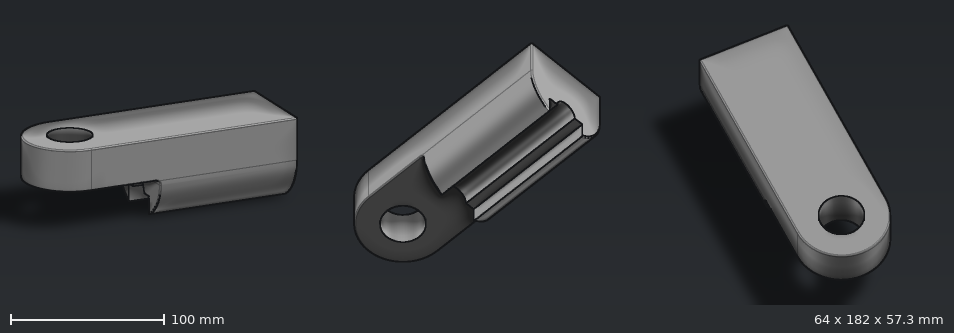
import cadquery as cq
import math

length = 182.0
width = 64.0
arm_thickness = 29.0
grip_length = 100.0
pivot_diameter = 30.0
slot_width = 30.0
slot_depth = 12.5
groove_radius = 8.0
inner_corner_radius = 3.5
edge_radius = 1.0

end_radius = width / 2
back_y = length - end_radius
grip_front_y = back_y - grip_length
grip_bottom_z = -math.sqrt(end_radius**2 - (slot_width / 2) ** 2)
slot_ceiling_z = grip_bottom_z + slot_depth


def make_plan():
    """Outline seen along Z: straight sides and a half-round pivot end."""
    return (
        cq.Workplane("XY", origin=(0, 0, -end_radius))
        .moveTo(-end_radius, back_y)
        .lineTo(-end_radius, 0)
        .threePointArc((0, -end_radius), (end_radius, 0))
        .lineTo(end_radius, back_y)
        .close()
        .extrude(end_radius + arm_thickness)
    )


def make_cross_section():
    """Outline seen along Y: straight sides above a half-round belly."""
    return (
        cq.Workplane("XZ", origin=(0, back_y, 0))
        .moveTo(-end_radius, arm_thickness)
        .lineTo(-end_radius, 0)
        .threePointArc((0, -end_radius), (end_radius, 0))
        .lineTo(end_radius, arm_thickness)
        .close()
        .extrude(length)
    )


def make_arm_clearance():
    """Space under the arm, with a round blend between its underside and the grip front."""
    clearance = cq.Workplane("XY").box(
        width, grip_front_y + end_radius, end_radius, centered=(True, False, False)
    )
    clearance = clearance.translate((0, -end_radius, -end_radius))
    return clearance.edges(">Y and >Z").fillet(inner_corner_radius)


def make_channel():
    """Square slot with a round groove in its ceiling, along the whole grip."""
    slot_bottom_z = -end_radius
    slot = cq.Workplane("XY").box(
        slot_width, grip_length, slot_ceiling_z - slot_bottom_z, centered=(True, False, False)
    )
    slot = slot.translate((0, grip_front_y, slot_bottom_z))
    groove = (
        cq.Workplane("XZ", origin=(0, back_y, slot_ceiling_z))
        .circle(groove_radius)
        .extrude(grip_length)
    )
    return slot.union(groove)


body = make_plan().intersect(make_cross_section()).cut(make_arm_clearance())

body = body.faces(">Z or >Y").edges().fillet(edge_radius)
underside_edge = cq.selectors.NearestToPointSelector((0, -end_radius, 0))
body = body.edges(underside_edge).fillet(edge_radius)

pivot_hole = cq.Workplane("XY").circle(pivot_diameter / 2).extrude(arm_thickness)

result = body.cut(pivot_hole).cut(make_channel())